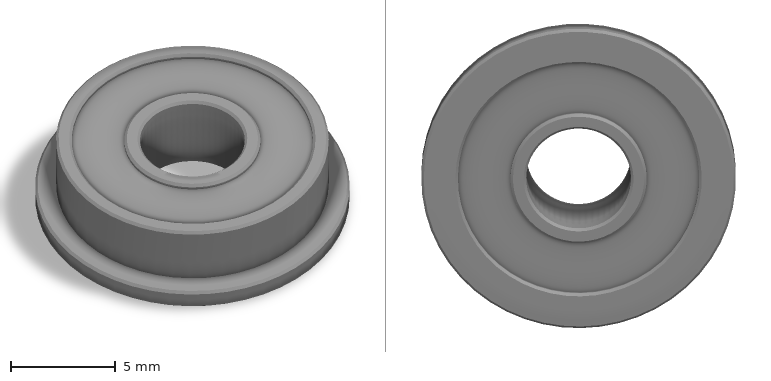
import cadquery as cq

flange_diameter = 15.0
body_diameter = 13.0
shield_outer_diameter = 11.5
shield_inner_diameter = 6.5
bore_diameter = 5.0
height = 4.0
flange_thickness = 1.0
shield_recess = 0.25
edge_chamfer = 0.12


def ring(outer_diameter, inner_diameter, ring_height):
    """Plain ring standing on the base plane."""
    return cq.Workplane("XY").circle(outer_diameter / 2).circle(inner_diameter / 2).extrude(ring_height)


def chamfered_ring(outer_diameter, inner_diameter, ring_height):
    """Ring with all four circular edges broken."""
    return ring(outer_diameter, inner_diameter, ring_height).faces("<Z or >Z").edges().chamfer(edge_chamfer)


inner_race = chamfered_ring(shield_inner_diameter, bore_diameter, height)
outer_race = chamfered_ring(body_diameter, shield_outer_diameter, height)
flange = chamfered_ring(flange_diameter, shield_outer_diameter, flange_thickness)

outer_ring = outer_race.union(flange)

shield = ring(shield_outer_diameter, shield_inner_diameter, height - 2 * shield_recess)
shield = shield.translate((0, 0, shield_recess))

result = outer_ring.union(shield).union(inner_race)